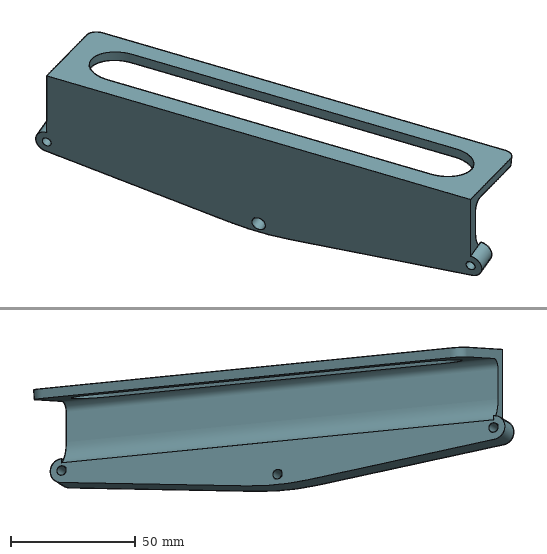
import cadquery as cq
import math

height = 49.5
body_width = 187.1
wall_thickness = 5.0
rail_thickness = 9.8

ear_radius = 5.0
ear_height = 14.8
ear_hole_diameter = 4.0
ear_x = body_width / 2

bottom_radius = 118.2
center_hole_height = 4.3
center_hole_front_diameter = 6.0
center_hole_back_diameter = 4.0

cove_radius = 11.8
cove_height = 27.5

flange_angle = 12.0
flange_depth = 44.0
flange_thickness = 4.0
front_flat = 0.4
flange_corner_radius = 5.0
inner_corner_radius = 3.5
slot_margin = 9.8
slot_width = 24.6

slope = math.radians(flange_angle)
flange_length = (flange_depth - front_flat) / math.cos(slope)


def extrude_back(sketch, depth):
    """Extrude an XZ sketch from the front face toward +Y."""
    return sketch.extrude(-depth)


def make_front_outline():
    """Plate with straight lower edges tangent to the ears and the bottom arc."""
    rise = bottom_radius - ear_height
    center_distance = math.hypot(ear_x, rise)
    edge_angle = math.asin((bottom_radius - ear_radius) / center_distance) - math.atan2(rise, ear_x)
    sin_edge = math.sin(edge_angle)
    cos_edge = math.cos(edge_angle)
    arc_x = bottom_radius * sin_edge
    arc_z = bottom_radius * (1 - cos_edge)
    ear_tangent_x = ear_x + ear_radius * sin_edge
    ear_tangent_z = ear_height - ear_radius * cos_edge
    ear_top = ear_height + ear_radius
    ear_side = ear_x + ear_radius
    sketch = (
        cq.Workplane("XZ")
        .moveTo(-ear_x, height)
        .lineTo(-ear_x, ear_top)
        .threePointArc((-ear_side, ear_height), (-ear_tangent_x, ear_tangent_z))
        .lineTo(-arc_x, arc_z)
        .threePointArc((0, 0), (arc_x, arc_z))
        .lineTo(ear_tangent_x, ear_tangent_z)
        .threePointArc((ear_side, ear_height), (ear_x, ear_top))
        .lineTo(ear_x, height)
        .close()
    )
    return extrude_back(sketch, rail_thickness)


def make_wall_relief():
    """Volume between the ears behind the thin wall, bounded below by the concave cove."""
    reach = rail_thickness - wall_thickness
    cove_end = cove_height - math.sqrt(cove_radius**2 - (cove_radius - reach) ** 2)
    half_angle = math.acos((cove_radius - reach) / cove_radius) / 2
    cove_mid = (
        wall_thickness + cove_radius * (1 - math.cos(half_angle)),
        cove_height - cove_radius * math.sin(half_angle),
    )
    return (
        cq.Workplane("YZ")
        .moveTo(wall_thickness, height)
        .lineTo(wall_thickness, cove_height)
        .threePointArc(cove_mid, (rail_thickness, cove_end))
        .lineTo(rail_thickness, height)
        .close()
        .extrude(body_width / 2, both=True)
    )


def make_flange():
    """Sloping flange with a filled wedge where it meets the wall."""
    tip_top = (flange_depth, height - flange_length * math.sin(slope))
    tip_bottom = (
        tip_top[0] - flange_thickness * math.sin(slope),
        tip_top[1] - flange_thickness * math.cos(slope),
    )
    root_z = height - flange_thickness / math.cos(slope) - (wall_thickness - front_flat) * math.tan(slope)
    profile = [
        (0, height),
        (front_flat, height),
        tip_top,
        tip_bottom,
        (wall_thickness, root_z),
        (0, root_z),
    ]
    flange = (
        cq.Workplane("YZ")
        .polyline(profile)
        .close()
        .extrude(body_width / 2, both=True)
    )
    return flange.faces(">Y").edges("not #Z").edges("not |X").fillet(flange_corner_radius)


def make_slot():
    """Obround cutter normal to the flange."""
    top_plane = cq.Plane(
        origin=(0, front_flat, height),
        xDir=(1, 0, 0),
        normal=(0, math.sin(slope), math.cos(slope)),
    )
    slot_center = flange_length - slot_margin - slot_width / 2
    return (
        cq.Workplane(top_plane)
        .center(0, slot_center)
        .slot2D(body_width - 2 * slot_margin, slot_width)
        .extrude(2 * flange_thickness, both=True)
    )


def trim_above_slope(plate):
    """Remove the part of the wall that stands above the flange's top surface."""
    drop = (rail_thickness - front_flat) * math.tan(slope)
    wedge = (
        cq.Workplane("YZ")
        .polyline([(front_flat, height), (rail_thickness, height), (rail_thickness, height - drop)])
        .close()
        .extrude(body_width / 2, both=True)
    )
    return plate.cut(wedge)


plate = trim_above_slope(make_front_outline().cut(make_wall_relief()))
body = plate.union(make_flange())

selection_margin = 0.2
inner_corner = cq.selectors.BoxSelector(
    (-body_width, wall_thickness - selection_margin, height - 2 * flange_thickness),
    (body_width, wall_thickness + selection_margin, height - flange_thickness),
)
body = body.edges("|X").edges(inner_corner).fillet(inner_corner_radius)
body = body.cut(make_slot())

ear_holes = (
    cq.Workplane("XZ")
    .pushPoints([(-ear_x, ear_height), (ear_x, ear_height)])
    .circle(ear_hole_diameter / 2)
)
body = body.cut(extrude_back(ear_holes, rail_thickness))

center_hole = cq.Workplane("XY").add(
    cq.Solid.makeCone(
        center_hole_front_diameter / 2,
        center_hole_back_diameter / 2,
        rail_thickness,
        pnt=cq.Vector(0, 0, center_hole_height),
        dir=cq.Vector(0, 1, 0),
    )
)
result = body.cut(center_hole)